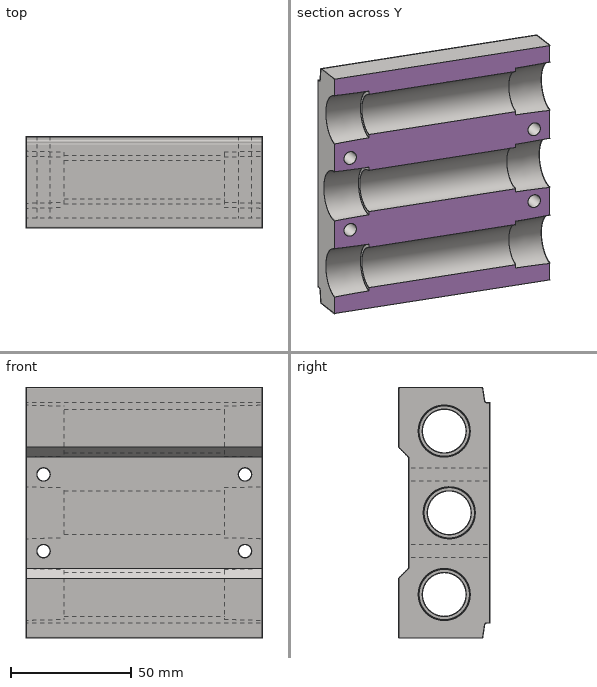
import cadquery as cq

length = 98.0
depth = 38.0
height = 104.0
half_height = height / 2

channel_depth = 4.2
channel_floor_half = 23.1
channel_mouth_half = channel_floor_half + channel_depth

step_height = 6.2
step_top_inset = 3.0
step_root_inset = 2.1
step_root_radius = 0.8
edge_radius = 0.5

bore_diameter = 18.1
socket_mouth_diameter = 21.6
socket_floor_diameter = 20.9
socket_depth = 15.6
outer_bore_z = 33.9
outer_bore_y = depth / 2
middle_bore_y = outer_bore_y + 2.1

mount_diameter = 5.4
mount_x = 41.8
mount_z = 15.9


def make_block():
    """Extrude the end profile along X and round its long edges."""
    step_z = half_height - step_height
    upper_half = [
        (channel_depth, channel_floor_half),
        (0, channel_mouth_half),
        (0, half_height),
        (depth - step_top_inset, half_height),
        (depth - step_root_inset, step_z),
        (depth, step_z),
    ]
    lower_half = [(y, -z) for y, z in reversed(upper_half)]
    block = (
        cq.Workplane("YZ")
        .polyline(upper_half + lower_half)
        .close()
        .extrude(length / 2, both=True)
    )
    for side in (-1, 1):
        root = (0, depth - step_root_inset, side * step_z)
        block = block.edges(cq.selectors.NearestToPointSelector(root)).fillet(step_root_radius)
        for y in (0, depth - step_top_inset):
            corner = (0, y, side * half_height)
            block = block.edges(cq.selectors.NearestToPointSelector(corner)).fillet(edge_radius)
    return block


def make_bore(y, z):
    """Return the cutting shape for one through bore and its two tapered sockets."""
    bore = cq.Workplane("YZ").center(y, z).circle(bore_diameter / 2).extrude(length / 2, both=True)
    socket = (
        cq.Workplane("YZ", origin=(-length / 2, y, z))
        .circle(socket_mouth_diameter / 2)
        .workplane(offset=socket_depth)
        .circle(socket_floor_diameter / 2)
        .loft()
    )
    return bore.union(socket).union(socket.mirror("YZ"))


def make_mount_holes():
    """Return the four mounting hole cutters, running along Y."""
    return (
        cq.Workplane("XZ")
        .rect(2 * mount_x, 2 * mount_z, forConstruction=True)
        .vertices()
        .circle(mount_diameter / 2)
        .extrude(-depth)
    )


result = make_block()
bore_centres = [
    (outer_bore_y, -outer_bore_z),
    (middle_bore_y, 0),
    (outer_bore_y, outer_bore_z),
]
for bore_y, bore_z in bore_centres:
    result = result.cut(make_bore(bore_y, bore_z))
result = result.cut(make_mount_holes())